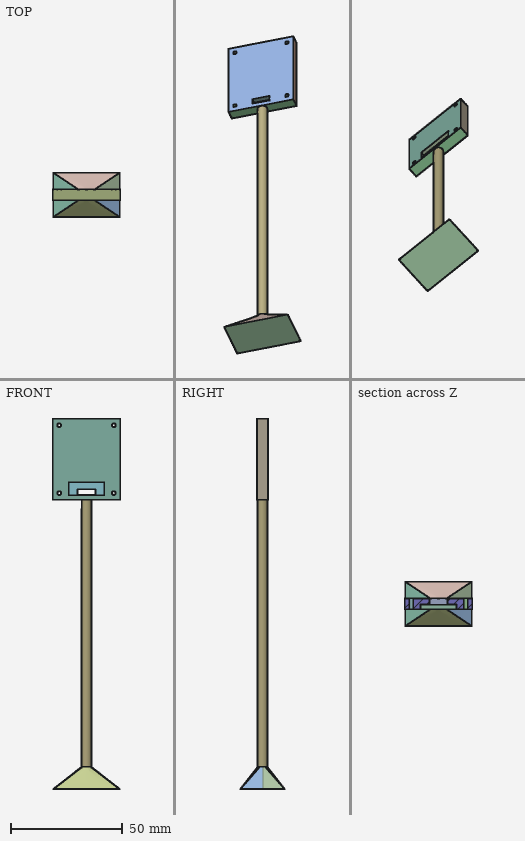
import cadquery as cq

foot_length = 30.0
foot_width = 20.0
foot_height = 10.0

post_diameter = 4.5
post_length = 120.0

panel_width = 30.5
panel_height = 36.5
panel_thickness = 5.0

screw_hole_diameter = 1.62
screw_hole_inset = 3.0

recess_width = 16.05
recess_height = 6.0
recess_depth = 2.2
recess_bottom_margin = 2.0
slot_width = 8.0
slot_height = 2.5
slot_step = 0.2

panel_bottom = foot_height + post_length
panel_middle = panel_bottom + panel_height / 2
panel_front = -panel_thickness / 2
recess_bottom = panel_bottom + recess_bottom_margin


def make_foot():
    """Loft from the rectangular base to the round section of the post."""
    return (
        cq.Workplane("XY")
        .rect(foot_length, foot_width)
        .workplane(offset=foot_height)
        .circle(post_diameter / 2)
        .loft(combine=True)
    )


def make_post():
    """Round post standing on the foot."""
    return cq.Workplane("XY", origin=(0, 0, foot_height)).circle(post_diameter / 2).extrude(post_length)


def box_from_front(width, height, bottom, depth):
    """Box centred on X that reaches back from the front plane of the panel."""
    return cq.Workplane("XY", origin=(0, panel_front, bottom)).box(
        width, depth, height, centered=(True, False, False)
    )


def make_screw_holes():
    """Four through holes, one inset from each panel corner."""
    return (
        cq.Workplane("XZ", origin=(0, panel_front + panel_thickness, panel_middle))
        .rect(panel_width - 2 * screw_hole_inset, panel_height - 2 * screw_hole_inset, forConstruction=True)
        .vertices()
        .circle(screw_hole_diameter / 2)
        .extrude(panel_thickness)
    )


def make_panel():
    """Flat panel with its screw holes, connector recess and slot."""
    panel = box_from_front(panel_width, panel_height, panel_bottom, panel_thickness)
    recess = box_from_front(recess_width, recess_height, recess_bottom, recess_depth)
    slot = box_from_front(slot_width, slot_height, recess_bottom + slot_step, panel_thickness)
    return panel.cut(make_screw_holes()).cut(recess).cut(slot)


result = make_foot().union(make_post()).union(make_panel())